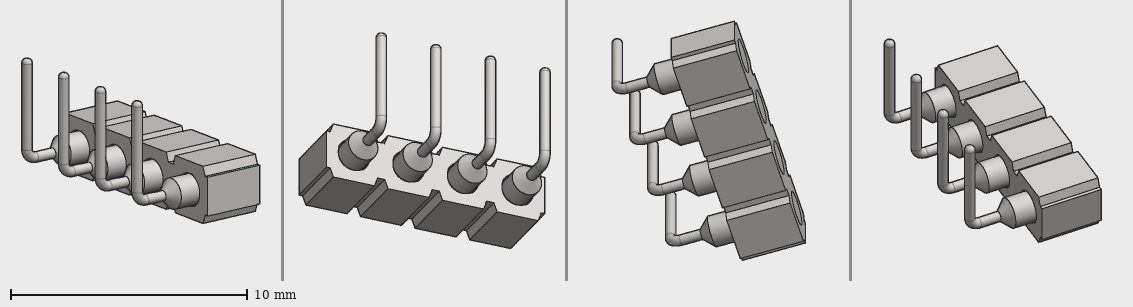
import cadquery as cq
import math

PIN_COUNT = 4
LENGTH = 10.16
PITCH = LENGTH / PIN_COUNT
HEIGHT = 2.54
DEPTH = 2.8
NOTCH_DEPTH = 0.41
NOTCH_FLOOR_HALF_WIDTH = 0.16
NOTCH_MOUTH_HALF_WIDTH = 0.31

BODY_DIAMETER = 1.46
COLLAR_DIAMETER = 1.36
COLLAR_LENGTH = 0.94
COLLAR_SINK = 0.1
CONE_LENGTH = 0.47
WIRE_DIAMETER = 0.46
STRAIGHT_LENGTH = 0.92
BEND_RADIUS = 0.45
WIRE_TOP = 4.47
TIP_ROUNDING = 0.21

BODY_RADIUS = BODY_DIAMETER / 2
COLLAR_RADIUS = COLLAR_DIAMETER / 2
WIRE_RADIUS = WIRE_DIAMETER / 2
SHOULDER = BODY_RADIUS - COLLAR_RADIUS

FRONT_Y = -DEPTH / 2
BACK_Y = DEPTH / 2
COLLAR_INNER_Y = FRONT_Y + COLLAR_SINK
CONE_START_Y = FRONT_Y - COLLAR_LENGTH
WIRE_START_Y = CONE_START_Y - CONE_LENGTH
BEND_START_Y = WIRE_START_Y - STRAIGHT_LENGTH
UPRIGHT_Y = BEND_START_Y - BEND_RADIUS

PIN_XS = [(i - (PIN_COUNT - 1) / 2) * PITCH for i in range(PIN_COUNT)]


def housing_outline():
    """Points of the notched strip in the XZ plane, top edge first and then the bottom edge."""
    top = HEIGHT / 2
    floor = top - NOTCH_DEPTH
    upper = []
    for x in PIN_XS:
        floor_half = PITCH / 2 - NOTCH_FLOOR_HALF_WIDTH
        mouth_half = PITCH / 2 - NOTCH_MOUTH_HALF_WIDTH
        upper += [(x - floor_half, floor), (x - mouth_half, top)]
        upper += [(x + mouth_half, top), (x + floor_half, floor)]
    upper = [(-LENGTH / 2, floor)] + upper + [(LENGTH / 2, floor)]
    lower = [(x, -z) for x, z in reversed(upper)]
    return upper + lower


def make_housing():
    """Notched strip with a through bore for every pin."""
    strip = cq.Workplane("XZ", origin=(0, BACK_Y, 0)).polyline(housing_outline()).close().extrude(DEPTH)
    bores = (
        cq.Workplane("XZ", origin=(0, BACK_Y, 0))
        .pushPoints([(x, 0) for x in PIN_XS])
        .circle(BODY_RADIUS)
        .extrude(DEPTH)
    )
    return strip.cut(bores)


def make_turned_body():
    """Body, shoulder, collar and cone, revolved about the Y axis."""
    return (
        cq.Workplane("XY")
        .moveTo(0, BACK_Y)
        .lineTo(BODY_RADIUS, BACK_Y)
        .lineTo(BODY_RADIUS, COLLAR_INNER_Y + SHOULDER)
        .lineTo(COLLAR_RADIUS, COLLAR_INNER_Y)
        .lineTo(COLLAR_RADIUS, CONE_START_Y)
        .lineTo(WIRE_RADIUS, WIRE_START_Y)
        .lineTo(0, WIRE_START_Y)
        .close()
        .revolve(360, (0, 0, 0), (0, 1, 0))
    )


def make_wire():
    """Round wire leaving the cone, bent upward and rounded at its tip."""
    bend_middle = BEND_RADIUS * math.sin(math.pi / 4)
    path = (
        cq.Workplane("YZ")
        .moveTo(WIRE_START_Y, 0)
        .lineTo(BEND_START_Y, 0)
        .threePointArc((BEND_START_Y - bend_middle, BEND_RADIUS - bend_middle), (UPRIGHT_Y, BEND_RADIUS))
        .lineTo(UPRIGHT_Y, WIRE_TOP)
    )
    shaft = cq.Workplane("XZ", origin=(0, WIRE_START_Y, 0)).circle(WIRE_RADIUS).sweep(path)
    return shaft.faces(">Z").edges().fillet(TIP_ROUNDING)


def make_pin(x):
    """One complete pin with its axis at the given X."""
    return make_turned_body().union(make_wire()).translate((x, 0, 0))


housing = make_housing()
pins = [make_pin(x) for x in PIN_XS]

result = cq.Compound.makeCompound([housing.val(), *[pin.val() for pin in pins]])